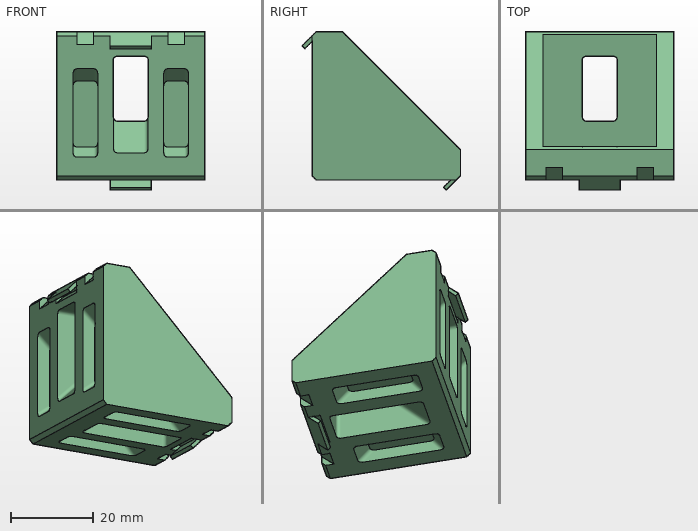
import cadquery as cq

size = 36.0
rim_flat = 7.4
chamfer = 1.0
overlap = 0.4

plate = 8.1
cavity_width = 27.5

slot_width = 8.45
slot_start = 6.6
slot_inner_start = 14.3
slot_end = 30.0
corner_radius = 0.92

pocket_width = 6.0
pocket_spacing = 22.0
pocket_depth = 3.35
pocket_start = 5.55
pocket_floor_start = 8.0
pocket_floor_end = 24.0
pocket_end = 27.0

notch_width = 4.0
notch_spacing = 22.0
notch_leg = 3.08
tab_width = 10.0
tab_reach = 2.45
tab_step = 0.7
relief_leg = 4.0


def prism(points, width, x_center=0):
    """Extrude a (Y, Z) outline along X, centred on x_center."""
    return (
        cq.Workplane("YZ").workplane(offset=x_center)
        .polyline(points).close().extrude(width / 2, both=True)
    )


def mirrored(points):
    """Swap Y and Z, carrying an outline from one plate to the other."""
    return [(z, y) for y, z in points]


def rounded_prism(points, width, along_plate, x_center=0):
    """Prism rounded along the four edges that run into the plate.

    along_plate is the axis, other than X, that lies in the plate.
    """
    solid = prism(points, width, x_center)
    return solid.edges(f"not(|X or |{along_plate})").fillet(corner_radius)


body_outline = [
    (chamfer, 0),
    (size - chamfer, 0),
    (size, chamfer),
    (size, rim_flat),
    (rim_flat, size),
    (chamfer, size),
    (0, size - chamfer),
    (0, chamfer),
]
body = prism(body_outline, size)

cavity_end = size + rim_flat - plate
cavity_outline = [
    (plate, plate),
    (cavity_end + overlap, plate),
    (plate, cavity_end + overlap),
]
body = body.cut(prism(cavity_outline, cavity_width))

slot_outline = [(0, slot_start), (plate, slot_inner_start), (plate, slot_end), (0, slot_end)]
pocket_outline = [
    (0, pocket_start),
    (pocket_depth, pocket_floor_start),
    (pocket_depth, pocket_floor_end),
    (0, pocket_end),
]
notch_outline = [
    (-overlap, size - notch_leg - overlap),
    (notch_leg + overlap, size + overlap),
    (-overlap, size + overlap),
]
tab_root = size - chamfer
tab_leg = chamfer + 2 * tab_step
tab_outline = [
    (0, tab_root),
    (-tab_reach, tab_root - tab_reach),
    (-tab_reach + tab_step, tab_root - tab_reach - tab_step),
    (0, size - tab_leg),
    (tab_leg / 2, size - tab_leg / 2),
    (chamfer / 2, size - chamfer / 2),
]
relief_outline = [
    (0, size - relief_leg),
    (relief_leg / 2, size - relief_leg / 2),
    (tab_leg / 2, size - tab_leg / 2),
    (0, size - tab_leg),
]


def upright(points):
    """Keep an outline on the upright plate."""
    return points


for placed, along_plate in ((upright, "Z"), (mirrored, "Y")):
    body = body.cut(rounded_prism(placed(slot_outline), slot_width, along_plate))
    for side in (-1, 1):
        pocket_x = side * pocket_spacing / 2
        notch_x = side * notch_spacing / 2
        body = body.cut(rounded_prism(placed(pocket_outline), pocket_width, along_plate, pocket_x))
        body = body.cut(prism(placed(notch_outline), notch_width, notch_x))
    body = body.cut(prism(placed(relief_outline), tab_width))
    body = body.union(prism(placed(tab_outline), tab_width))

result = body